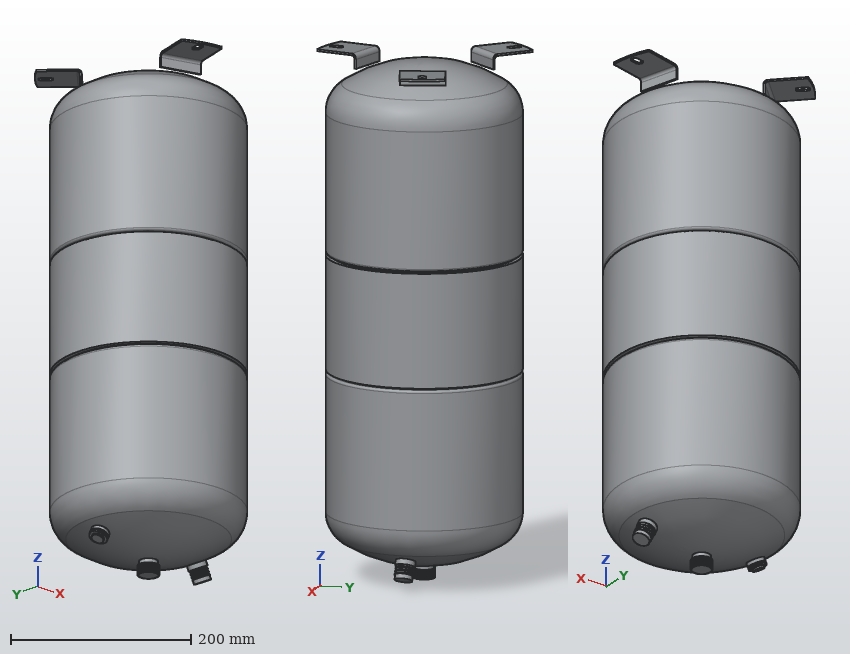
import cadquery as cq
import math

TANK_RADIUS = 109.5
TANK_MID_Z = 301.5
KNUCKLE_Z = 226.0
KNUCKLE_RADIUS = 38.5
DOME_RADIUS = 171.0
BAND_HALF_HEIGHT = 65.0
SHELL_EDGE_RADIUS = 3.0
NECK_DEPTH = 6.0
NECK_RADIUS = TANK_RADIUS - NECK_DEPTH
NECK_HEIGHT = 2.5

KNUCKLE_CENTER_R = TANK_RADIUS - KNUCKLE_RADIUS
DOME_CENTER_Z = KNUCKLE_Z - math.sqrt((DOME_RADIUS - KNUCKLE_RADIUS) ** 2 - KNUCKLE_CENTER_R**2)
APEX_Z = DOME_CENTER_Z + DOME_RADIUS

BRACKET_ANGLES = (15, 135, 255)
BRACKET_TOP_Z = 590
BRACKET_HEIGHT = 17.0
BRACKET_WIDTH = 51.0
BRACKET_INNER = 73.0
BRACKET_OUTER = 126.0
SHEET_THICKNESS = 2.5
BEND_RADIUS = 6.0
SLOT_CENTER = 114.0
SLOT_LENGTH = 16.5
SLOT_WIDTH = 9.0

FITTING_TILT = 25.5
FITTING_EMBED = 9.0
THREAD_DEPTH = 1.0

OUTLET_NECK_RADIUS = 10.5
OUTLET_THREAD_RADIUS = 12.5
OUTLET_THREAD_LENGTH = 11.0
OUTLET_CHAMFER = 1.0
OUTLET_THREADS = 5

PORT_NECK_RADIUS = 11.0
PORT_NECK_LENGTH = 6.0
PORT_THREAD_RADIUS = 10.5
PORT_THREAD_LENGTH = 10.5
PORT_THREADS = 3
PORT_TIP_RADIUS = 10.0
PORT_LENGTH = 22.0

BOSS_RADIUS = 10.5
BOSS_LENGTH = 4.0
VALVE_STEM_RADIUS = 9.0
VALVE_STEM_LENGTH = 2.0
VALVE_COLLAR_RADIUS = 10.5
VALVE_COLLAR_LENGTH = 2.5
VALVE_TIP_RADIUS = 7.0
VALVE_TIP_LENGTH = 2.5


def arc_point(center_r, center_z, radius, degrees):
    angle = math.radians(degrees)
    return (center_r + radius * math.cos(angle), center_z + radius * math.sin(angle))


def make_shell():
    """Upper shell, with the middle of the tank at Z = 0."""
    tangent = math.degrees(math.atan2(KNUCKLE_Z - DOME_CENTER_Z, KNUCKLE_CENTER_R))
    rim_z = BAND_HALF_HEIGHT + NECK_HEIGHT
    rim_center_r = TANK_RADIUS - SHELL_EDGE_RADIUS
    rim_center_z = rim_z + SHELL_EDGE_RADIUS
    return (
        cq.Workplane("XZ")
        .moveTo(0, BAND_HALF_HEIGHT)
        .lineTo(NECK_RADIUS, BAND_HALF_HEIGHT)
        .lineTo(NECK_RADIUS, rim_z)
        .lineTo(rim_center_r, rim_z)
        .threePointArc(
            arc_point(rim_center_r, rim_center_z, SHELL_EDGE_RADIUS, -45),
            (TANK_RADIUS, rim_center_z),
        )
        .lineTo(TANK_RADIUS, KNUCKLE_Z)
        .threePointArc(
            arc_point(KNUCKLE_CENTER_R, KNUCKLE_Z, KNUCKLE_RADIUS, tangent / 2),
            arc_point(KNUCKLE_CENTER_R, KNUCKLE_Z, KNUCKLE_RADIUS, tangent),
        )
        .threePointArc(
            arc_point(0, DOME_CENTER_Z, DOME_RADIUS, (tangent + 90) / 2),
            (0, APEX_Z),
        )
        .close()
        .revolve(360, (0, 0, 0), (0, 1, 0))
    )


def make_band():
    return (
        cq.Workplane("XY", origin=(0, 0, -BAND_HALF_HEIGHT))
        .circle(TANK_RADIUS)
        .extrude(2 * BAND_HALF_HEIGHT)
    )


def make_bracket(angle):
    """Bracket with a flat slotted plate and a leg pointing down at the upper dome."""
    leg_bottom_z = BRACKET_TOP_Z - BRACKET_HEIGHT
    plate_bottom_z = BRACKET_TOP_Z - SHEET_THICKNESS
    leg_outer = BRACKET_INNER + SHEET_THICKNESS
    inner_bend = BEND_RADIUS - SHEET_THICKNESS
    bend_x = BRACKET_INNER + BEND_RADIUS
    bend_z = BRACKET_TOP_Z - BEND_RADIUS
    sheet = (
        cq.Workplane("XZ")
        .moveTo(BRACKET_INNER, leg_bottom_z)
        .lineTo(BRACKET_INNER, bend_z)
        .threePointArc(arc_point(bend_x, bend_z, BEND_RADIUS, 135), (bend_x, BRACKET_TOP_Z))
        .lineTo(BRACKET_OUTER, BRACKET_TOP_Z)
        .lineTo(BRACKET_OUTER, plate_bottom_z)
        .lineTo(bend_x, plate_bottom_z)
        .threePointArc(arc_point(bend_x, bend_z, inner_bend, 135), (leg_outer, bend_z))
        .lineTo(leg_outer, leg_bottom_z)
        .close()
        .extrude(BRACKET_WIDTH / 2, both=True)
    )
    outer_edge = cq.Workplane("XY").circle(BRACKET_OUTER).extrude(BRACKET_TOP_Z)
    slot = (
        cq.Workplane("XY", origin=(SLOT_CENTER, 0, plate_bottom_z))
        .slot2D(SLOT_LENGTH, SLOT_WIDTH)
        .extrude(SHEET_THICKNESS)
    )
    return sheet.intersect(outer_edge).cut(slot).rotate((0, 0, 0), (0, 0, 1), angle)


def thread_points(radius, start, length, count):
    """Outline points of ring-shaped V grooves along a thread, going down from start."""
    pitch = length / count
    points = [(radius, start)]
    for turn in range(count):
        groove_top = start - turn * pitch
        points.append((radius - THREAD_DEPTH, groove_top - pitch / 2))
        points.append((radius, groove_top - pitch))
    return points


def make_fitting(outline, tilt):
    """Turn an outline, with Z = 0 at the dome apex, and swing it about the dome centre."""
    dome_center = (0, 0, TANK_MID_Z - DOME_CENTER_Z)
    swing_axis_end = (0, 1, TANK_MID_Z - DOME_CENTER_Z)
    return (
        cq.Workplane("XZ")
        .polyline(outline)
        .close()
        .revolve(360, (0, 0, 0), (0, 1, 0))
        .translate((0, 0, TANK_MID_Z - APEX_Z))
        .rotate(dome_center, swing_axis_end, -tilt)
    )


def make_outlet():
    end_z = APEX_Z - TANK_MID_Z
    thread_end = end_z + OUTLET_CHAMFER
    thread_start = end_z + OUTLET_THREAD_LENGTH
    thread = thread_points(
        OUTLET_THREAD_RADIUS, thread_start, thread_start - thread_end, OUTLET_THREADS
    )
    outline = [
        (0, FITTING_EMBED),
        (OUTLET_NECK_RADIUS, FITTING_EMBED),
        (OUTLET_NECK_RADIUS, thread_start),
        *thread,
        (OUTLET_THREAD_RADIUS - OUTLET_CHAMFER, end_z),
        (0, end_z),
    ]
    return make_fitting(outline, 0)


def make_side_port():
    thread_end = -PORT_NECK_LENGTH - PORT_THREAD_LENGTH
    thread = thread_points(PORT_THREAD_RADIUS, -PORT_NECK_LENGTH, PORT_THREAD_LENGTH, PORT_THREADS)
    outline = [
        (0, FITTING_EMBED),
        (PORT_NECK_RADIUS, FITTING_EMBED),
        (PORT_NECK_RADIUS, -PORT_NECK_LENGTH),
        *thread,
        (PORT_TIP_RADIUS, thread_end),
        (PORT_TIP_RADIUS, -PORT_LENGTH),
        (0, -PORT_LENGTH),
    ]
    return make_fitting(outline, FITTING_TILT)


def make_valve_boss():
    outline = [
        (0, FITTING_EMBED),
        (BOSS_RADIUS, FITTING_EMBED),
        (BOSS_RADIUS, -BOSS_LENGTH),
        (0, -BOSS_LENGTH),
    ]
    return make_fitting(outline, -FITTING_TILT)


def make_valve():
    """Valve seated on the end of its boss: narrow stem, collar and tip."""
    collar_start = -BOSS_LENGTH - VALVE_STEM_LENGTH
    collar_end = collar_start - VALVE_COLLAR_LENGTH
    tip_end = collar_end - VALVE_TIP_LENGTH
    outline = [
        (0, -BOSS_LENGTH),
        (VALVE_STEM_RADIUS, -BOSS_LENGTH),
        (VALVE_STEM_RADIUS, collar_start),
        (VALVE_COLLAR_RADIUS, collar_start),
        (VALVE_COLLAR_RADIUS, collar_end),
        (VALVE_TIP_RADIUS, collar_end),
        (VALVE_TIP_RADIUS, tip_end),
        (0, tip_end),
    ]
    return make_fitting(outline, -FITTING_TILT)


tank_middle = (0, 0, TANK_MID_Z)
upper_shell = make_shell().translate(tank_middle)
band = make_band().translate(tank_middle)
lower_shell = make_shell().rotate((0, 0, 0), (1, 0, 0), 180).translate(tank_middle)

brackets = [make_bracket(angle) for angle in BRACKET_ANGLES]

outlet = make_outlet().cut(lower_shell)
side_port = make_side_port().cut(lower_shell)
valve_boss = make_valve_boss().cut(lower_shell)
valve = make_valve()

result = cq.Compound.makeCompound(
    [
        upper_shell.val(),
        band.val(),
        lower_shell.val(),
        *[bracket.val() for bracket in brackets],
        outlet.val(),
        side_port.val(),
        valve_boss.val(),
        valve.val(),
    ]
)